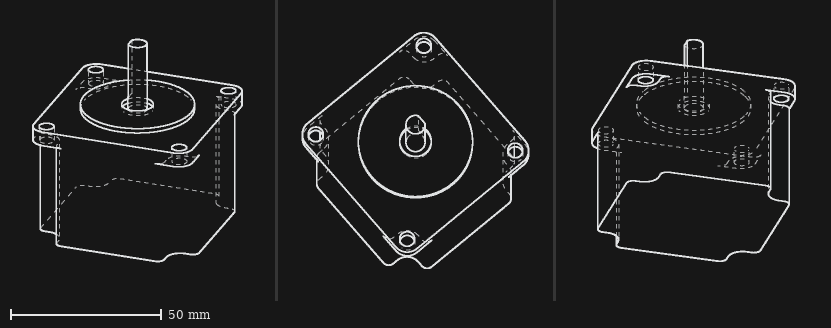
import cadquery as cq

side = 56.4
total_height = 65.0
body_height = 36.0
plate_thickness = 5.0
pilot_height = 1.6

plate_corner_radius = 5.0
hole_diameter = 5.0
hole_spacing = 47.1

relief_radius = 5.0
relief_setback = 9.1
relief_edge_radius = 2.35

pilot_diameter = 38.1
bore_diameter = 10.5
shaft_diameter = 6.4
flat_depth = 0.5
flat_length = 19.45
flat_runout = 0.5

half_side = side / 2
plate_top = body_height + plate_thickness
shaft_radius = shaft_diameter / 2


def make_body():
    blank = cq.Workplane("XY").rect(side, side).extrude(body_height)
    reliefs = (
        cq.Workplane("XY")
        .rect(side, side, forConstruction=True)
        .vertices()
        .rect(2 * relief_setback, 2 * relief_setback)
        .extrude(body_height)
        .edges("|Z")
        .fillet(relief_radius)
    )
    body = blank.cut(reliefs)
    wall = half_side - relief_setback
    for x_edge, y_edge in ((half_side, wall), (wall, half_side)):
        for x_sign in (-1, 1):
            for y_sign in (-1, 1):
                edge_point = (x_sign * x_edge, y_sign * y_edge, body_height / 2)
                sharp_edge = cq.selectors.NearestToPointSelector(edge_point)
                body = body.edges(sharp_edge).fillet(relief_edge_radius)
    return body


def make_plate():
    plate = (
        cq.Workplane("XY", origin=(0, 0, body_height))
        .rect(side, side)
        .extrude(plate_thickness)
        .edges("|Z")
        .fillet(plate_corner_radius)
    )
    return (
        plate.faces(">Z")
        .workplane()
        .rect(hole_spacing, hole_spacing, forConstruction=True)
        .vertices()
        .hole(hole_diameter)
    )


def make_pilot():
    return (
        cq.Workplane("XY", origin=(0, 0, plate_top))
        .circle(pilot_diameter / 2)
        .circle(bore_diameter / 2)
        .extrude(pilot_height)
    )


def make_shaft():
    shaft = (
        cq.Workplane("XY", origin=(0, 0, plate_top))
        .circle(shaft_radius)
        .extrude(total_height - plate_top)
    )
    flat_x = flat_depth - shaft_radius
    flat_end = total_height - flat_length
    flat_cut = (
        cq.Workplane("XZ")
        .moveTo(flat_x, total_height)
        .lineTo(flat_x, flat_end)
        .lineTo(-shaft_radius, flat_end - flat_runout)
        .lineTo(-shaft_radius, total_height)
        .close()
        .extrude(shaft_radius, both=True)
    )
    return shaft.cut(flat_cut)


result = make_body().union(make_plate()).union(make_pilot()).union(make_shaft()).clean()